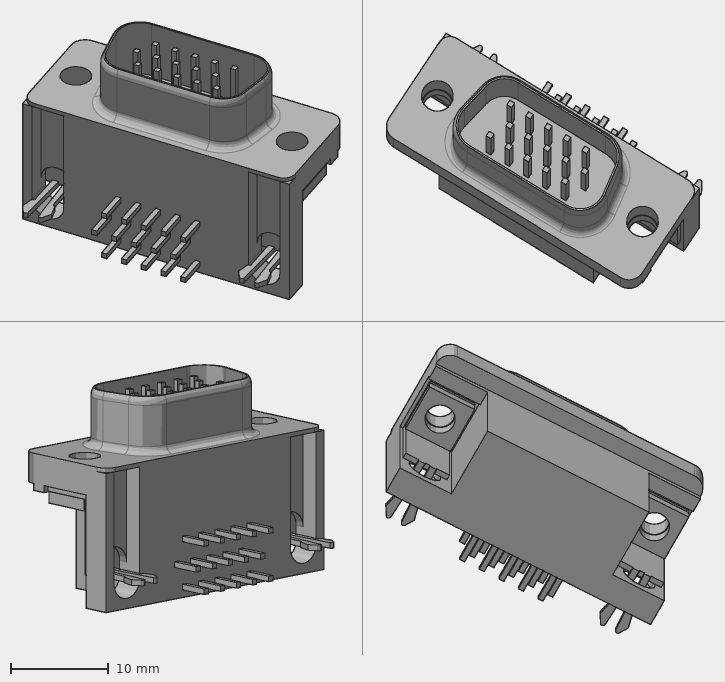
import cadquery as cq
import math

WIDTH = 30.8
FLANGE_DEPTH = 12.5
FLANGE_TOP = 15.07
FLANGE_BOTTOM = 11.9
FLANGE_BACK_RADIUS = 1.6
FACE_PLATE_THICKNESS = 0.45
FACE_PLATE_BOTTOM = FLANGE_TOP - FACE_PLATE_THICKNESS
FACE_PLATE_RADIUS = 1.32

FRONT_Y = -FLANGE_DEPTH / 2
BACK_Y = FLANGE_DEPTH / 2
WALL_THICKNESS = 3.0
WALL_BACK_Y = FRONT_Y + WALL_THICKNESS
BODY_WIDTH = 18.8
BODY_BACK_Y = 4.55
RIB_FRONT_Y = 3.0
RIB_HEIGHT = 0.75

MOUNT_X = 12.48
FLANGE_HOLE_DIAMETER = 3.25
NUT_HOLE_DIAMETER = 3.08
CHANNEL_WIDTH = 3.65
CHANNEL_DEPTH = 1.97
WINDOW_BOTTOM = 1.08
WINDOW_TOP = 6.15

BRACKET_WIDTH = 5.1
BRACKET_BACK_Y = 2.8
BRACKET_BOTTOM = 3.35
SHEET_THICKNESS = 0.6
NUT_WIDTH = 5.25
NUT_THICKNESS = 1.23
PRONG_BOTTOM = 3.08
PRONG_ROOT_INNER_X = 0.28
PRONG_OUTER_X = 1.05
PRONG_NECK_Y = -7.02
PRONG_NECK_X = 1.15
PRONG_SHOULDER_X = 1.32
PRONG_SHOULDER_Y = -7.2
PRONG_BARB_X = 1.65
PRONG_BARB_Y = -8.7
PRONG_END_Y = -9.55
PRONG_END_INNER_X = 0.62
PRONG_END_OUTER_X = 1.15
PRONG_TIP_Y = -9.75

SHELL_TOP = 21.07
SHELL_DEPTH = 9.35
SHELL_CORNER_RADIUS = 3.05
SHELL_CORNER_X = 5.92
SHELL_SIDE_ANGLE = 10.0
SHELL_WALL = 0.5
SHELL_BASE_FILLET = 0.83
SHELL_LIP_RADIUS = 1.35
SHELL_LIP_HEIGHT = 0.85
EDGE_MARGIN = 0.3

PIN_SIZE = 0.6
PIN_PITCH = 2.28
PIN_COUNT = 5
OUTER_ROW_X = 0.25
MIDDLE_ROW_X = OUTER_ROW_X - PIN_PITCH / 2
PIN_ROW_Y = 1.97
PIN_TOP = 20.58
TAIL_MIDDLE_Z = 3.65
TAIL_ROW_Z = 2.53
TAIL_END_Y = -9.5


def block(x_min, x_max, y_min, y_max, z_min, z_max):
    size = (x_max - x_min, y_max - y_min, z_max - z_min)
    return cq.Workplane("XY").box(*size, centered=False).translate((x_min, y_min, z_min))


def centred_block(x, width, y_min, y_max, z_min, z_max):
    return block(x - width / 2, x + width / 2, y_min, y_max, z_min, z_max)


def make_housing():
    flange = centred_block(0, WIDTH, FRONT_Y, BACK_Y, FLANGE_BOTTOM, FLANGE_TOP)
    flange = flange.edges("|Z and >Y").fillet(FLANGE_BACK_RADIUS)
    wall = centred_block(0, WIDTH, FRONT_Y, WALL_BACK_Y, 0, FLANGE_TOP)
    body = centred_block(0, BODY_WIDTH, WALL_BACK_Y, BODY_BACK_Y, 0, FLANGE_BOTTOM)
    rib = centred_block(0, WIDTH, RIB_FRONT_Y, BODY_BACK_Y, FLANGE_BOTTOM - RIB_HEIGHT, FLANGE_BOTTOM)
    corners = centred_block(0, WIDTH, FRONT_Y, WALL_BACK_Y, FACE_PLATE_BOTTOM, FLANGE_TOP)
    corners = corners.cut(corners.edges("|Z and <Y").fillet(FACE_PLATE_RADIUS))
    return flange.union(wall).union(body).union(rib).cut(corners)


def mount_cutters(x):
    radius = CHANNEL_WIDTH / 2
    window_height = WINDOW_TOP - WINDOW_BOTTOM
    window = (
        cq.Workplane("XZ", origin=(x, FRONT_Y, WINDOW_BOTTOM + window_height / 2))
        .slot2D(window_height, CHANNEL_WIDTH, 90)
        .extrude(-WALL_THICKNESS)
    )
    channel = centred_block(
        x, CHANNEL_WIDTH, FRONT_Y, FRONT_Y + CHANNEL_DEPTH,
        WINDOW_BOTTOM + radius, FACE_PLATE_BOTTOM,
    )
    return window.union(channel)


def make_prong(x, side):
    """One springy barbed finger; side is -1 or 1 about the mounting station."""
    tip_x = (PRONG_END_INNER_X + PRONG_END_OUTER_X) / 2
    root_y = WALL_BACK_Y + SHEET_THICKNESS

    def at(offset, y):
        return (x + side * offset, y)

    return (
        cq.Workplane("XY", origin=(0, 0, PRONG_BOTTOM))
        .moveTo(*at(PRONG_ROOT_INNER_X, root_y))
        .lineTo(*at(PRONG_OUTER_X, root_y))
        .lineTo(*at(PRONG_OUTER_X, PRONG_NECK_Y))
        .lineTo(*at(PRONG_NECK_X, PRONG_SHOULDER_Y))
        .lineTo(*at(PRONG_SHOULDER_X, PRONG_SHOULDER_Y))
        .lineTo(*at(PRONG_BARB_X, PRONG_BARB_Y))
        .lineTo(*at(PRONG_END_OUTER_X, PRONG_END_Y))
        .threePointArc(at(tip_x, PRONG_TIP_Y), at(PRONG_END_INNER_X, PRONG_END_Y))
        .close()
        .extrude(SHEET_THICKNESS)
    )


def make_bracket(x):
    sheet_front_y = WALL_BACK_Y
    sheet_bottom = FLANGE_BOTTOM - SHEET_THICKNESS
    top_sheet = centred_block(x, BRACKET_WIDTH, sheet_front_y, BRACKET_BACK_Y, sheet_bottom, FLANGE_BOTTOM)
    back_sheet = centred_block(
        x, BRACKET_WIDTH, sheet_front_y, sheet_front_y + SHEET_THICKNESS, BRACKET_BOTTOM, FLANGE_BOTTOM
    )
    nut = centred_block(
        x, NUT_WIDTH, -NUT_WIDTH / 2, NUT_WIDTH / 2, sheet_bottom - NUT_THICKNESS, sheet_bottom
    )
    bracket = top_sheet.union(back_sheet).union(nut)
    for side in (-1, 1):
        bracket = bracket.union(make_prong(x, side))
    return bracket


def mount_hole(x):
    """Clearance hole through the flange, narrowing through the bracket and nut."""
    clearance = (
        cq.Workplane("XY", origin=(x, 0, FLANGE_TOP))
        .circle(FLANGE_HOLE_DIAMETER / 2)
        .extrude(FLANGE_BOTTOM - FLANGE_TOP)
    )
    nut_hole = (
        cq.Workplane("XY", origin=(x, 0, FLANGE_BOTTOM))
        .circle(NUT_HOLE_DIAMETER / 2)
        .extrude(-SHEET_THICKNESS - NUT_THICKNESS)
    )
    return clearance.union(nut_hole)


def shell_prism(inset, z_min, z_max):
    """D-shaped prism, its wall moved inward from the shell outline by inset."""
    corner_y = SHELL_DEPTH / 2 - SHELL_CORNER_RADIUS
    front_corner_x = SHELL_CORNER_X - 2 * corner_y * math.tan(math.radians(SHELL_SIDE_ANGLE))
    corner_centres = [
        (-SHELL_CORNER_X, corner_y),
        (SHELL_CORNER_X, corner_y),
        (front_corner_x, -corner_y),
        (-front_corner_x, -corner_y),
    ]
    return (
        cq.Workplane("XY", origin=(0, 0, z_min))
        .polyline(corner_centres)
        .close()
        .offset2D(SHELL_CORNER_RADIUS - inset)
        .extrude(z_max - z_min)
    )


def add_shell(housing):
    full_top = SHELL_TOP - SHELL_LIP_HEIGHT + SHELL_LIP_RADIUS
    outer = shell_prism(0, FLANGE_TOP, full_top).faces(">Z").edges().fillet(SHELL_LIP_RADIUS)
    outer = outer.intersect(centred_block(0, WIDTH, FRONT_Y, BACK_Y, FLANGE_TOP, SHELL_TOP))
    part = housing.union(outer)
    base_edges = cq.selectors.BoxSelector(
        (-MOUNT_X, FRONT_Y + EDGE_MARGIN, FLANGE_TOP - EDGE_MARGIN),
        (MOUNT_X, BACK_Y - EDGE_MARGIN, FLANGE_TOP + EDGE_MARGIN),
    )
    part = part.edges(base_edges).fillet(SHELL_BASE_FILLET)
    return part.cut(shell_prism(SHELL_WALL, FACE_PLATE_BOTTOM, SHELL_TOP))


def add_contacts(part):
    half = PIN_SIZE / 2
    for row in (-1, 0, 1):
        row_x = OUTER_ROW_X if row else MIDDLE_ROW_X
        y = row * PIN_ROW_Y
        tail_z = TAIL_MIDDLE_Z + row * TAIL_ROW_Z
        for index in range(PIN_COUNT):
            x = row_x + (index - (PIN_COUNT - 1) / 2) * PIN_PITCH
            part = part.union(centred_block(x, PIN_SIZE, y - half, y + half, FLANGE_BOTTOM, PIN_TOP))
            part = part.union(
                centred_block(x, PIN_SIZE, TAIL_END_Y, WALL_BACK_Y, tail_z - half, tail_z + half)
            )
    return part


result = add_shell(make_housing())
for mount_x in (-MOUNT_X, MOUNT_X):
    result = result.cut(mount_cutters(mount_x))
    result = result.union(make_bracket(mount_x))
    result = result.cut(mount_hole(mount_x))
result = add_contacts(result)